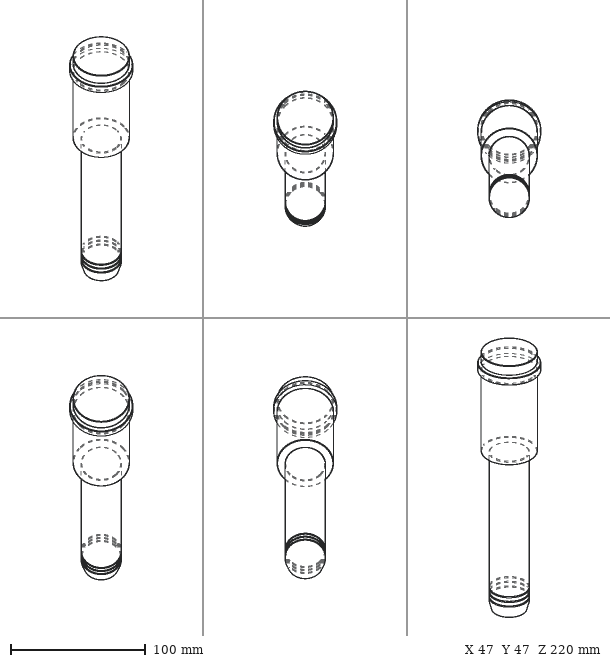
import cadquery as cq
import math

total_length = 220.0
head_length = 9.0
collar_thickness = 6.0
sleeve_length = 70.0
collar_top = total_length - head_length
collar_bottom = collar_top - collar_thickness
sleeve_bottom = collar_bottom - sleeve_length

sleeve_radius = 21.0
head_radius = sleeve_radius
collar_radius = 23.5
pin_radius = 15.0

edge_chamfer = 0.5

lead_length = 7.0
lead_angle = math.radians(15)
tip_radius = pin_radius - lead_length * math.tan(lead_angle)
tip_fillet = 0.5

groove_radius = 0.5
groove_count = 3
groove_pitch = 4.0
first_groove_height = 10.5


def make_body():
    """Revolve the stepped half profile about the Z axis."""
    profile = (
        cq.Workplane("XZ")
        .lineTo(tip_radius, 0)
        .lineTo(pin_radius, lead_length)
        .lineTo(pin_radius, sleeve_bottom)
        .lineTo(sleeve_radius - edge_chamfer, sleeve_bottom)
        .lineTo(sleeve_radius, sleeve_bottom + edge_chamfer)
        .lineTo(sleeve_radius, collar_bottom)
        .lineTo(collar_radius, collar_bottom)
        .lineTo(collar_radius, collar_top - edge_chamfer)
        .lineTo(collar_radius - edge_chamfer, collar_top)
        .lineTo(head_radius, collar_top)
        .lineTo(head_radius, total_length - edge_chamfer)
        .lineTo(head_radius - edge_chamfer, total_length)
        .lineTo(0, total_length)
        .close()
    )
    return profile.revolve(360, (0, 0, 0), (0, 1, 0))


def cut_groove(body, radius, height):
    """Cut a half-round groove into a cylinder of the given radius."""
    ring = cq.Solid.makeTorus(radius, groove_radius, cq.Vector(0, 0, height), cq.Vector(0, 0, 1))
    return body.cut(cq.Workplane(obj=ring))


result = make_body()

result = result.faces("<Z").edges().fillet(tip_fillet)

result = cut_groove(result, head_radius, collar_top + groove_radius)
result = cut_groove(result, sleeve_radius, collar_bottom - groove_radius)
result = cut_groove(result, pin_radius, sleeve_bottom - groove_radius)

for index in range(groove_count):
    result = cut_groove(result, pin_radius, first_groove_height + index * groove_pitch)